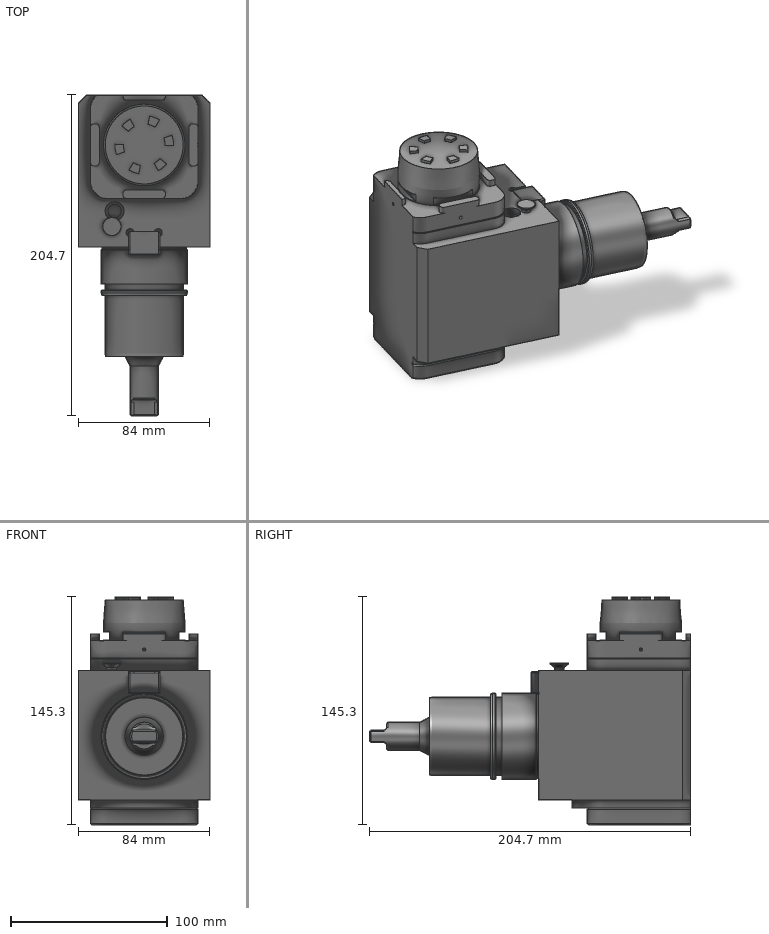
import cadquery as cq
import math


BODY_WIDTH = 84.0
BODY_DEPTH = 97.0
BODY_TOP = 42.0
BODY_BOTTOM = -40.5
BODY_CORNER_CHAMFER = 5.2

HEAD_Y = 65.2
FLANGE_SIZE = 68.5
FLANGE_CORNER_R = 10.5
FLANGE_TOP = 61.0
FLANGE_SEAM_Z = 49.9
FLANGE_SEAM_CHAMFER = 0.5

LOWER_RING_BOTTOM = BODY_BOTTOM - 5.2
LOWER_PLATE_BOTTOM = -56.56
LOWER_PLATE_CHAMFER = 1.1

KEY_LENGTH = 27.0
KEY_WIDTH = 5.6
KEY_CORNER_R = 2.3
KEY_TOP = 65.3
SIDE_HOLE_D = 2.0
SIDE_HOLE_DEPTH = 4.0
SIDE_HOLE_Z = 55.3

HEAD_D = 52.0
HEAD_TOP_D = 49.7
HEAD_CONE_Z = 72.2
HEAD_TOP = 87.0
NECK_WIDTH = 44.2
NECK_BOTTOM = FLANGE_TOP + 0.5
NECK_TOP = 66.6

PAD_COUNT = 6
PAD_INNER_R = 13.3
PAD_OUTER_R = 18.7
PAD_HALF_ANGLE = 10.4
PAD_FIRST_ANGLE = 9.0
PAD_TOP = 88.75

COLLAR_D = 55.0
COLLAR_NECK_D = 54.0
COLLAR_NECK_LENGTH = 1.2
COLLAR_CHAMFER = 0.5
COLLAR_END = 23.4
RING_START = 27.2
RING_END = 30.8
RING_CHAMFER = 0.6
RING_FRONT_CHAMFER_LENGTH = 1.5
SHANK_D = 50.0
SHANK_END = 69.7
SHANK_TIP_CHAMFER = (1.9, 0.4)
NOSE_D = 24.4
NOSE_END = 75.8
SPINDLE_D = 18.0
SPINDLE_CHAMFER = 1.0
SPINDLE_END = 97.0
TANG_END = 107.7
TANG_THICKNESS = 8.0
TANG_TIP_CHAMFER = 1.0
TANG_ROOT_R = 1.7
TANG_FLAT_WIDTH = 13.2
TANG_SIDE_SLOPE = 0.8 / 1.8

DRIVE_KEY_WIDTH = 20.0
DRIVE_KEY_FRONT = -5.0
DRIVE_KEY_BACK = 10.0
DRIVE_KEY_TOP = 41.3
DRIVE_KEY_BOTTOM = 27.2
DRIVE_KEY_CHAMFER = 0.8
RELIEF_R = 2.5
RELIEF_INSET_X = 1.0
RELIEF_INSET_Y = 0.7

SCREW_X = -20.6
SCREW_Y = 13.2
SCREW_HEAD_D = 11.57
SCREW_STEM_D = 6.0
SCREW_CONE_Z = BODY_TOP + 1.8
SCREW_RIM_Z = BODY_TOP + 4.1
SCREW_TOP = BODY_TOP + 4.9
HOLE_X = -18.9
HOLE_Y = 23.0
COUNTERBORE_D = 12.0
COUNTERBORE_DEPTH = 4.5
HOLE_D = 8.57
HOLE_DEPTH = 6.0


def prism(sketch_plane_z, top_z):
    """Workplane on the head axis at one height, and the height up to another."""
    return cq.Workplane("XY", origin=(0, HEAD_Y, sketch_plane_z)), top_z - sketch_plane_z


def cylinder(x, y, diameter, bottom_z, top_z):
    return cq.Workplane("XY", origin=(x, y, bottom_z)).circle(diameter / 2).extrude(top_z - bottom_z)


def flange_square(bottom_z, top_z):
    plane, height = prism(bottom_z, top_z)
    square = plane.rect(FLANGE_SIZE, FLANGE_SIZE).extrude(height)
    return square.edges("|Z").fillet(FLANGE_CORNER_R)


def make_body():
    block = (
        cq.Workplane("XY", origin=(0, BODY_DEPTH / 2, BODY_BOTTOM))
        .rect(BODY_WIDTH, BODY_DEPTH)
        .extrude(BODY_TOP - BODY_BOTTOM)
    )
    return block.edges("|Z and >Y").chamfer(BODY_CORNER_CHAMFER)


def make_upper_flange():
    base = flange_square(BODY_TOP, FLANGE_SEAM_Z).faces(">Z").edges().chamfer(FLANGE_SEAM_CHAMFER)
    flange = base.union(flange_square(FLANGE_SEAM_Z, FLANGE_TOP))
    plane, height = prism(FLANGE_TOP, KEY_TOP)
    key = (
        plane.center(0, -(FLANGE_SIZE - KEY_WIDTH) / 2)
        .rect(KEY_LENGTH, KEY_WIDTH)
        .extrude(height)
        .edges("|Z")
        .fillet(KEY_CORNER_R)
    )
    hole = (
        cq.Workplane("XZ", origin=(0, HEAD_Y - FLANGE_SIZE / 2, SIDE_HOLE_Z))
        .circle(SIDE_HOLE_D / 2)
        .extrude(-SIDE_HOLE_DEPTH)
    )
    for side in range(4):
        turn = ((0, HEAD_Y, 0), (0, HEAD_Y, 1), 90 * side)
        flange = flange.union(key.rotate(*turn)).cut(hole.rotate(*turn))
    return flange


def make_lower_flange():
    bulge_r = (FLANGE_SIZE / 2 - FLANGE_CORNER_R) * math.sqrt(2) + FLANGE_CORNER_R
    tangent = bulge_r / math.sqrt(2)
    plane, height = prism(LOWER_RING_BOTTOM, BODY_BOTTOM)
    bulge = (
        plane.moveTo(-tangent, -tangent)
        .threePointArc((0, -bulge_r), (tangent, -tangent))
        .close()
        .extrude(height)
    )
    flange = flange_square(LOWER_RING_BOTTOM, BODY_BOTTOM).union(bulge)
    plate = flange_square(LOWER_PLATE_BOTTOM, LOWER_RING_BOTTOM)
    return flange.union(plate.faces("<Z or >Z").edges().chamfer(LOWER_PLATE_CHAMFER))


def trim_behind_body(shape):
    """Cut off what reaches past the back face of the body."""
    length = FLANGE_SIZE
    trimmer = cq.Workplane("XY").box(2 * BODY_WIDTH, length, 4 * BODY_WIDTH)
    return shape.cut(trimmer.translate((0, BODY_DEPTH + length / 2, 0)))


def make_head():
    head = (
        cq.Workplane("XZ", origin=(0, HEAD_Y, 0))
        .moveTo(0, FLANGE_TOP)
        .lineTo(HEAD_D / 2, FLANGE_TOP)
        .lineTo(HEAD_D / 2, HEAD_CONE_Z)
        .lineTo(HEAD_TOP_D / 2, HEAD_TOP)
        .lineTo(0, HEAD_TOP)
        .close()
        .revolve(360, (0, 0, 0), (0, 1, 0))
    )
    plane, height = prism(NECK_BOTTOM, NECK_TOP)
    flats = plane.rect(2 * HEAD_D, 2 * HEAD_D).rect(NECK_WIDTH, NECK_WIDTH).extrude(height)
    head = head.cut(flats)
    for index in range(PAD_COUNT):
        head = head.union(make_pad(PAD_FIRST_ANGLE + 360 / PAD_COUNT * index))
    return head


def make_pad(angle):
    def at(radius, offset):
        direction = math.radians(angle + offset)
        return (radius * math.cos(direction), radius * math.sin(direction))

    plane, height = prism(HEAD_TOP, PAD_TOP)
    return (
        plane.moveTo(*at(PAD_INNER_R, -PAD_HALF_ANGLE))
        .lineTo(*at(PAD_OUTER_R, -PAD_HALF_ANGLE))
        .threePointArc(at(PAD_OUTER_R, 0), at(PAD_OUTER_R, PAD_HALF_ANGLE))
        .lineTo(*at(PAD_INNER_R, PAD_HALF_ANGLE))
        .threePointArc(at(PAD_INNER_R, 0), at(PAD_INNER_R, -PAD_HALF_ANGLE))
        .close()
        .extrude(height)
    )


def make_shank():
    tip_length, tip_depth = SHANK_TIP_CHAMFER
    spindle_r = SPINDLE_D / 2
    profile = [
        (0, 0),
        (COLLAR_NECK_D / 2, 0),
        (COLLAR_NECK_D / 2, COLLAR_NECK_LENGTH),
        (COLLAR_D / 2, COLLAR_NECK_LENGTH + COLLAR_CHAMFER),
        (COLLAR_D / 2, COLLAR_END),
        (SHANK_D / 2, COLLAR_END),
        (SHANK_D / 2, RING_START),
        (COLLAR_D / 2 - RING_CHAMFER, RING_START),
        (COLLAR_D / 2, RING_START + RING_CHAMFER),
        (COLLAR_D / 2, RING_END - RING_FRONT_CHAMFER_LENGTH),
        (COLLAR_D / 2 - RING_CHAMFER, RING_END),
        (SHANK_D / 2, RING_END),
        (SHANK_D / 2, SHANK_END - tip_length),
        (SHANK_D / 2 - tip_depth, SHANK_END),
        (NOSE_D / 2, SHANK_END),
        (spindle_r, NOSE_END),
        (spindle_r, SPINDLE_END - SPINDLE_CHAMFER),
        (spindle_r - SPINDLE_CHAMFER, SPINDLE_END),
        (0, SPINDLE_END),
    ]
    points = [(radius, -distance) for radius, distance in profile]
    shank = cq.Workplane("XY").polyline(points).close().revolve(360, (0, 0, 0), (0, 1, 0))
    return shank.union(make_tang())


def make_tang():
    start = SPINDLE_END - SPINDLE_CHAMFER
    half = TANG_THICKNESS / 2
    rod = (
        cq.Workplane("XZ", origin=(0, -start, 0))
        .circle(SPINDLE_D / 2)
        .extrude(TANG_END - start)
        .faces("<Y")
        .chamfer(SPINDLE_CHAMFER)
    )
    root_start = -SPINDLE_END
    root_end = root_start - TANG_ROOT_R
    arc_reach = TANG_ROOT_R * (1 - math.sqrt(0.5))
    relief = (
        cq.Workplane("YZ")
        .moveTo(-start, SPINDLE_D)
        .lineTo(-start, half + TANG_ROOT_R)
        .lineTo(root_start, half + TANG_ROOT_R)
        .threePointArc((root_start - arc_reach, half + arc_reach), (root_end, half))
        .lineTo(-TANG_END + TANG_TIP_CHAMFER, half)
        .lineTo(-TANG_END, half - TANG_TIP_CHAMFER)
        .lineTo(-TANG_END, SPINDLE_D)
        .close()
        .extrude(SPINDLE_D, both=True)
    )
    bevel_start = TANG_FLAT_WIDTH / 2
    bevel_drop = (SPINDLE_D - bevel_start) * TANG_SIDE_SLOPE
    bevel = (
        cq.Workplane("XZ", origin=(0, root_end, 0))
        .moveTo(bevel_start, half)
        .lineTo(SPINDLE_D, half)
        .lineTo(SPINDLE_D, half - bevel_drop)
        .close()
        .extrude(TANG_END + root_end)
    )
    cutter = relief.union(bevel).union(bevel.mirror("YZ"))
    return rod.cut(cutter).cut(cutter.mirror("XY"))


def make_drive_key():
    key = cq.Workplane("XY").box(
        DRIVE_KEY_WIDTH,
        DRIVE_KEY_BACK - DRIVE_KEY_FRONT,
        DRIVE_KEY_TOP - DRIVE_KEY_BOTTOM,
    )
    key = key.edges("|Y or |Z or <Y").chamfer(DRIVE_KEY_CHAMFER)
    middle_y = (DRIVE_KEY_FRONT + DRIVE_KEY_BACK) / 2
    return key.translate((0, middle_y, (DRIVE_KEY_TOP + DRIVE_KEY_BOTTOM) / 2))


def make_drive_key_slot():
    """Slot for the drive key with round reliefs at its two inner corners."""
    slot = (
        cq.Workplane("XY", origin=(0, DRIVE_KEY_BACK / 2, DRIVE_KEY_BOTTOM))
        .rect(DRIVE_KEY_WIDTH, DRIVE_KEY_BACK)
        .extrude(BODY_TOP - DRIVE_KEY_BOTTOM)
    )
    relief_x = DRIVE_KEY_WIDTH / 2 - RELIEF_INSET_X
    relief_y = DRIVE_KEY_BACK - RELIEF_INSET_Y
    for x in (-relief_x, relief_x):
        slot = slot.union(cylinder(x, relief_y, 2 * RELIEF_R, DRIVE_KEY_BOTTOM, BODY_TOP))
    return slot


def make_screw():
    head_r = SCREW_HEAD_D / 2
    stem_r = SCREW_STEM_D / 2
    return (
        cq.Workplane("XZ", origin=(SCREW_X, SCREW_Y, 0))
        .moveTo(0, BODY_TOP)
        .lineTo(stem_r, BODY_TOP)
        .lineTo(stem_r, SCREW_CONE_Z)
        .lineTo(head_r, SCREW_RIM_Z)
        .lineTo(head_r, SCREW_TOP)
        .lineTo(0, SCREW_TOP)
        .close()
        .revolve(360, (0, 0, 0), (0, 1, 0))
    )


def make_hole():
    counterbore = cylinder(HOLE_X, HOLE_Y, COUNTERBORE_D, BODY_TOP - COUNTERBORE_DEPTH, BODY_TOP)
    return counterbore.union(cylinder(HOLE_X, HOLE_Y, HOLE_D, BODY_TOP - HOLE_DEPTH, BODY_TOP))


body = make_body().cut(make_drive_key_slot()).cut(make_hole())
body = body.union(trim_behind_body(make_upper_flange()))
body = body.union(trim_behind_body(make_lower_flange()))
body = body.union(make_head())
body = body.union(make_shank())
body = body.union(make_drive_key())
result = body.union(make_screw()).solids()